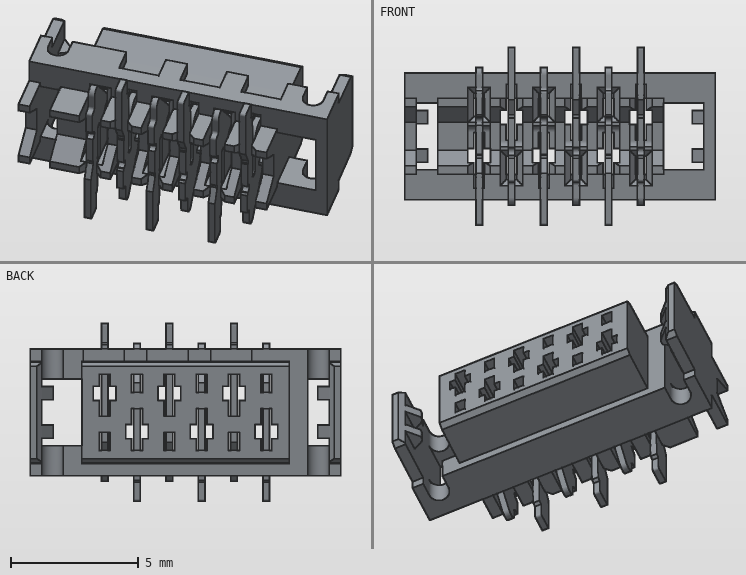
import cadquery as cq
import math


length = 12.22
body_half_height = 2.49
body_depth = 1.63
sleeve_back = 3.52
sleeve_root_half_height = 2.02
sleeve_tip_half_height = 1.98
sleeve_end_bevel_depth = 0.25
sleeve_end_bevel_height = 0.16
sleeve_half_length = 4.07
shoulder_half_length = 4.81
window_half_height = 1.31

arm_thickness = 0.46
arm_tip_bevel = 0.2
hook_reach = 0.45
hook_tip_back = 2.84
hook_tip_front = 2.64
hook_tip_radius = 0.15
hook_root_front = 2.42
hook_height = 0.53
hook_offset = 0.76
relief_bottom = 0.64

notch_pitch = 2.5
notch_width = 1.63
notch_center = 0.71
notch_front = 0.64

rib_reach = 1.48
rib_half_height = 1.49
channel_mouth_half = 1.16
channel_floor_half = 0.55
channel_floor = -0.49

contact_pitch = 1.27
contact_count = 6
contact_thickness = 0.27
contact_front = -1.78
overall_height = 7.0
contact_tail = overall_height / 2
contact_root = 0.49
slot_half_width = 0.21
slot_end = 2.04
slot_inner_end = 0.15
slot_depth = 0.37
chamber_half_width = 0.44
passage_near = 0.48
passage_far = 1.03
funnel_top = 1.93
funnel_bottom = 0.55
funnel_depth = 0.23
groove_depth = 0.25
groove_top = 0.42

half_length = length / 2
arm_inner = half_length - arm_thickness
x_axis_plane = cq.Plane(origin=(0, 0, 0), xDir=(0, 1, 0), normal=(1, 0, 0))


def box(x0, x1, y0, y1, z0, z1):
    """Axis-aligned block between the given limits."""
    return cq.Workplane("XY").box(x1 - x0, y1 - y0, z1 - z0, centered=False).translate((x0, y0, z0))


def along_x(points, x0, x1):
    """Prism of a (Y, Z) outline between two X positions."""
    return cq.Workplane(x_axis_plane).workplane(offset=x0).polyline(points).close().extrude(x1 - x0)


def along_z(points, z0, z1):
    """Prism of an (X, Y) outline between two Z positions."""
    return cq.Workplane("XY").workplane(offset=z0).polyline(points).close().extrude(z1 - z0)


def flip(shape):
    """Turn a shape upside down."""
    return shape.mirror("XY")


def sleeve_profile(x0, x1):
    """Slightly tapered block with bevelled back edges, running back from the front face."""
    bevel_start = sleeve_back - sleeve_end_bevel_depth
    end_half_height = sleeve_tip_half_height - sleeve_end_bevel_height
    upper = [
        (0, sleeve_root_half_height),
        (body_depth, sleeve_root_half_height),
        (bevel_start, sleeve_tip_half_height),
        (sleeve_back, end_half_height),
    ]
    lower = [(y, -z) for y, z in reversed(upper)]
    return along_x(upper + lower, x0, x1)


def rib_profile(x0, x1):
    """Front rib with two legs on either side of the V channel."""
    upper = [
        (0, rib_half_height),
        (-rib_reach, rib_half_height),
        (-rib_reach, channel_mouth_half),
        (channel_floor, channel_floor_half),
    ]
    lower = [(y, -z) for y, z in reversed(upper)]
    return along_x(upper + lower, x0, x1)


def latch_hooks():
    """Two catches on the inner side of the +X arm."""
    outline = [
        (arm_inner, sleeve_back - arm_tip_bevel),
        (arm_inner - hook_reach, hook_tip_back),
        (arm_inner - hook_reach, hook_tip_front),
        (arm_inner, hook_root_front),
    ]
    z0 = hook_offset - hook_height / 2
    upper = along_z(outline, z0, z0 + hook_height)
    upper = upper.edges("|Z and <X").fillet(hook_tip_radius)
    return upper.union(flip(upper))


def latch_arm():
    """Flat spring arm at the +X end with a bevelled tip and its hooks."""
    tip_bevel = along_z(
        [
            (arm_inner, sleeve_back),
            (arm_inner + arm_tip_bevel, sleeve_back),
            (arm_inner, sleeve_back - arm_tip_bevel),
        ],
        -body_half_height,
        body_half_height,
    )
    return sleeve_profile(arm_inner, half_length).cut(tip_bevel).union(latch_hooks())


def arm_relief():
    """Round-bottomed gap that frees the +X arm from the body."""
    radius = (arm_inner - shoulder_half_length) / 2
    center = (arm_inner + shoulder_half_length) / 2
    round_bottom = (
        cq.Workplane("XY")
        .center(center, relief_bottom + radius)
        .circle(radius)
        .extrude(2 * body_half_height)
        .translate((0, 0, -body_half_height))
    )
    gap = box(
        shoulder_half_length,
        arm_inner,
        relief_bottom + radius,
        body_depth,
        -body_half_height,
        body_half_height,
    )
    return gap.union(round_bottom)


def housing():
    body = box(-half_length, half_length, 0, body_depth, -body_half_height, body_half_height)
    body = body.cut(arm_relief()).cut(arm_relief().mirror("YZ"))
    body = body.union(sleeve_profile(-sleeve_half_length, sleeve_half_length))
    body = body.union(latch_arm()).union(latch_arm().mirror("YZ"))

    body = body.union(rib_profile(-shoulder_half_length, sleeve_half_length))
    body = body.union(rib_profile(-half_length, -arm_inner))

    for x0, x1 in ((-arm_inner, -shoulder_half_length), (sleeve_half_length, arm_inner)):
        body = body.cut(box(x0, x1, 0, body_depth, -window_half_height, window_half_height))

    for step in (-1, 0, 1):
        x0 = notch_center + step * notch_pitch - notch_width / 2
        notch = box(x0, x0 + notch_width, notch_front, body_depth, sleeve_root_half_height, body_half_height)
        body = body.cut(notch)
    return body


def funnel():
    """Lead-in tapering from the front face to the slot behind it."""
    center = (funnel_top + funnel_bottom) / 2
    taper = chamber_half_width - slot_half_width
    outer_height = funnel_top - funnel_bottom
    return (
        cq.Workplane("XZ")
        .center(0, center)
        .rect(2 * chamber_half_width, outer_height)
        .workplane(offset=-funnel_depth)
        .rect(2 * slot_half_width, outer_height - 2 * taper)
        .loft(ruled=True)
    )


def chamber():
    """Everything removed from the housing around one contact whose tail points down."""
    taper = chamber_half_width - slot_half_width

    space = box(
        -chamber_half_width, chamber_half_width, -rib_reach, 0, channel_floor_half, rib_half_height
    )
    space = space.union(funnel())
    space = space.union(
        box(-slot_half_width, slot_half_width, 0, sleeve_back, funnel_bottom + taper, rib_half_height)
    )
    space = space.union(
        box(-slot_half_width, slot_half_width, 0, slot_depth, funnel_bottom + taper, funnel_top - taper)
    )

    space = space.union(
        box(-chamber_half_width, chamber_half_width, channel_floor, 0, -passage_near, channel_floor_half)
    )
    groove = (
        cq.Workplane(x_axis_plane)
        .workplane(offset=-chamber_half_width)
        .moveTo(0, groove_top)
        .radiusArc((groove_depth, groove_top - groove_depth), groove_depth)
        .lineTo(groove_depth, -passage_near)
        .lineTo(0, -passage_near)
        .close()
        .extrude(2 * chamber_half_width)
    )
    space = space.union(groove)

    space = space.union(
        box(
            -chamber_half_width, chamber_half_width, -rib_reach, sleeve_back, -passage_far, -passage_near
        )
    )
    space = space.union(
        box(-slot_half_width, slot_half_width, -rib_reach, sleeve_back, -rib_half_height, slot_inner_end)
    )
    space = space.union(box(-slot_half_width, slot_half_width, 0, slot_depth, -slot_end, 0))

    mouth = along_z(
        [
            (-chamber_half_width, -rib_reach),
            (chamber_half_width, -rib_reach),
            (slot_half_width, taper - rib_reach),
            (-slot_half_width, taper - rib_reach),
        ],
        -rib_half_height,
        -passage_far,
    )
    return space.union(mouth)


def contact():
    """Flat sheet contact with a short rounded head on top and a long tail below."""
    diagonal = math.sqrt(0.5)

    slope_root = 1.17
    head_front = -1.28
    head_top = 2.71
    crest_radius = 0.29
    crest_y = head_front + crest_radius
    crest_z = head_top - crest_radius
    throat_radius = 0.12
    neck_top = 1.8
    neck_front = -1.59
    neck_corner = 0.1
    neck_bottom = 0.85
    neck_step = 0.09

    waist_front = -1.52
    waist_bottom = -0.71
    dip_front = -1.47
    dip_top = -0.73
    dip_bottom = -0.85
    notch_radius = 0.16
    notch_y = -1.45
    notch_z = 0.59

    tail_start = -1.44
    tail_corner = 0.1
    tail_back = -1.04
    tail_shoulder = -2.74
    shoulder_y = -0.89
    shoulder_z = -2.66
    taper_end = -1.88

    gap_back = -0.51
    gap_front = -0.85
    gap_top = 0.54
    gap_corner = 0.12
    bar_end = -1.61
    bar_round = 0.51

    plate = (
        cq.Workplane(x_axis_plane)
        .moveTo(contact_root, slope_root)
        .lineTo(crest_y + crest_radius * diagonal, crest_z + crest_radius * diagonal)
        .threePointArc((crest_y, head_top), (head_front, crest_z))
        .lineTo(head_front, neck_top + throat_radius)
        .radiusArc((head_front - throat_radius, neck_top), throat_radius)
        .lineTo(neck_front + neck_corner, neck_top)
        .radiusArc((neck_front, neck_top - neck_corner), -neck_corner)
        .lineTo(neck_front, neck_bottom)
        .lineTo(waist_front, neck_bottom - neck_step)
        .lineTo(waist_front, waist_bottom)
        .lineTo(dip_front, dip_top)
        .lineTo(dip_front, dip_bottom)
        .lineTo(contact_front, tail_start)
        .lineTo(contact_front, tail_corner - contact_tail)
        .radiusArc((contact_front + tail_corner, -contact_tail), -tail_corner)
        .lineTo(tail_back - tail_corner, -contact_tail)
        .radiusArc((tail_back, tail_corner - contact_tail), -tail_corner)
        .lineTo(tail_back, tail_shoulder)
        .lineTo(shoulder_y, shoulder_z)
        .lineTo(gap_front, taper_end)
        .lineTo(gap_front, gap_top - gap_corner)
        .radiusArc((gap_front + gap_corner, gap_top), gap_corner)
        .lineTo(gap_back - gap_corner, gap_top)
        .radiusArc((gap_back, gap_top - gap_corner), gap_corner)
        .lineTo(gap_back, bar_end + bar_round)
        .radiusArc((gap_back + bar_round, bar_end), -bar_round)
        .lineTo(contact_root, bar_end)
        .close()
        .extrude(contact_thickness)
    )
    side_notch = (
        cq.Workplane(x_axis_plane)
        .center(notch_y, notch_z)
        .circle(notch_radius)
        .extrude(contact_thickness)
    )
    return plate.cut(side_notch).translate((-contact_thickness / 2, 0, 0))


lower_tail_space = chamber()
lower_tail_contact = contact()

result = housing()
for index in range(contact_count):
    x = (index - (contact_count - 1) / 2) * contact_pitch
    space = lower_tail_space
    pin = lower_tail_contact
    if index % 2 == 1:
        space = flip(space)
        pin = flip(pin)
    result = result.cut(space.translate((x, 0, 0))).union(pin.translate((x, 0, 0)))